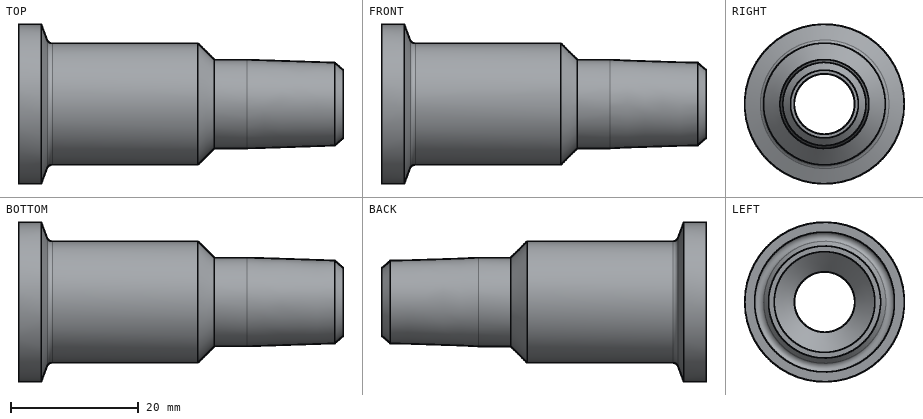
import cadquery as cq
import math

TOTAL_LENGTH = 50.8
FLANGE_THICKNESS = 3.55
FLANGE_FILLET_END = 5.25
BODY_END = 28.05
NECK_START = 30.65
TAPER_START = 35.65
TIP_CHAMFER_LENGTH = 1.35

FLANGE_RADIUS = 25.0 / 2
BODY_RADIUS = 19.05 / 2
NECK_RADIUS = 13.9 / 2
TAPER_END_RADIUS = 13.0 / 2
TIP_RADIUS = 10.6 / 2

FLANGE_BACK_ANGLE = math.radians(20)
FLANGE_FILLET_RADIUS = 0.8

BORE_RADIUS = 9.4 / 2
MOUTH_RADIUS = 15.75 / 2
MOUTH_ANGLE = math.radians(45)

GROOVE_RADIUS = 21.9 / 2
LIP_RADIUS = 17.55 / 2
LIP_RECESS = 0.75
FLANK_BOTTOM_RADIUS = 19.1 / 2
FLANK_ANGLE = math.radians(37)


def on_circle(center, radius, angle):
    """Point (axial, radial) on a circle; angle zero points along +X."""
    return (center[0] + radius * math.cos(angle), center[1] + radius * math.sin(angle))


fillet_center = (FLANGE_FILLET_END, BODY_RADIUS + FLANGE_FILLET_RADIUS)
fillet_start_angle = math.pi + FLANGE_BACK_ANGLE
fillet_end_angle = 1.5 * math.pi
fillet_mid_angle = (fillet_start_angle + fillet_end_angle) / 2
fillet_start = on_circle(fillet_center, FLANGE_FILLET_RADIUS, fillet_start_angle)
fillet_mid = on_circle(fillet_center, FLANGE_FILLET_RADIUS, fillet_mid_angle)

floor_radius = (GROOVE_RADIUS - FLANK_BOTTOM_RADIUS) / (1 + math.cos(FLANK_ANGLE))
flank_bottom = LIP_RECESS + (FLANK_BOTTOM_RADIUS - LIP_RADIUS) / math.tan(FLANK_ANGLE)
floor_center = (flank_bottom - floor_radius * math.sin(FLANK_ANGLE), GROOVE_RADIUS - floor_radius)
floor_start_angle = FLANK_ANGLE - math.pi / 2
floor_mid_angle = (floor_start_angle + math.pi / 2) / 2
floor_mid = on_circle(floor_center, floor_radius, floor_mid_angle)

throat = LIP_RECESS + (MOUTH_RADIUS - BORE_RADIUS) / math.tan(MOUTH_ANGLE)

half_section = (
    cq.Workplane("XY")
    .moveTo(0, GROOVE_RADIUS)
    .lineTo(0, FLANGE_RADIUS)
    .lineTo(FLANGE_THICKNESS, FLANGE_RADIUS)
    .lineTo(*fillet_start)
    .threePointArc(fillet_mid, (FLANGE_FILLET_END, BODY_RADIUS))
    .lineTo(BODY_END, BODY_RADIUS)
    .lineTo(NECK_START, NECK_RADIUS)
    .lineTo(TAPER_START, NECK_RADIUS)
    .lineTo(TOTAL_LENGTH - TIP_CHAMFER_LENGTH, TAPER_END_RADIUS)
    .lineTo(TOTAL_LENGTH, TIP_RADIUS)
    .lineTo(TOTAL_LENGTH, BORE_RADIUS)
    .lineTo(throat, BORE_RADIUS)
    .lineTo(LIP_RECESS, MOUTH_RADIUS)
    .lineTo(LIP_RECESS, LIP_RADIUS)
    .lineTo(flank_bottom, FLANK_BOTTOM_RADIUS)
    .threePointArc(floor_mid, (floor_center[0], GROOVE_RADIUS))
    .close()
)

result = half_section.revolve(360, (0, 0, 0), (1, 0, 0))